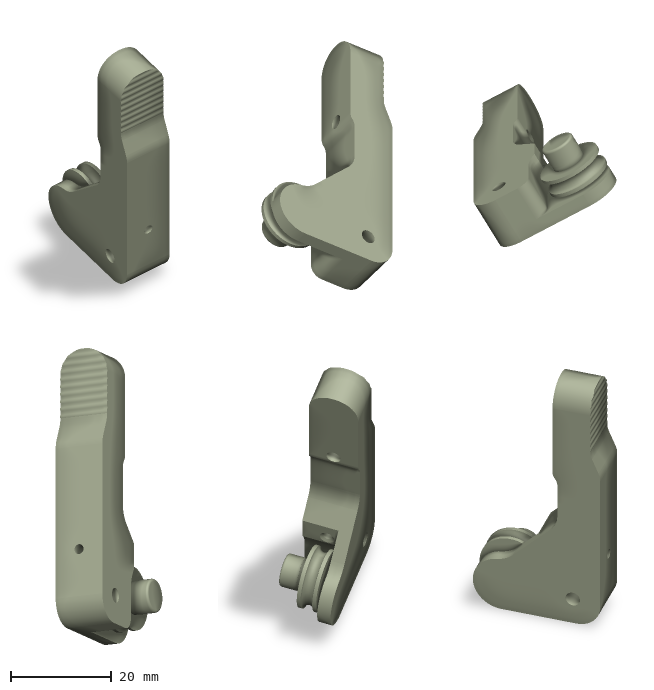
import cadquery as cq
import math

arm_thickness = 10.4
arm_back_x = 26.75
arm_height = 56.0
tip_round_radius = 5.0
heel_radius = 5.0
foot_radius = 6.0
foot_blend_radius = 6.0
ramp_offset = 5.2
ramp_blend_radius = 5.0
waist_x = 17.75
neck_front_x = 16.75
step_low_z = 32.55
step_high_z = 35.5
back_bend_low_z = 35.6
back_bend_radius = 4.35

ripple_mean_x = 24.7
ripple_height = 0.085
ripple_pitch = 1.5
ripple_count = 9
ripple_top_z = 55.85

pulley_x = 6.85
pulley_z = 8.5
pulley_radius = 6.5
pulley_start_y = 3.2
pulley_end_y = 7.2
groove_half_width = 1.25
groove_depth = 1.05
shaft_radius = 1.5
collar_radius = 3.35
collar_end_y = 8.4
hub_radius = 3.4
hub_end_y = 12.15
hub_round_radius = 0.5

plate_thickness = 2.8
pocket_wall_x = 12.8
pulley_clearance = 0.9
pocket_foot_radius = 2.5
trim_margin = 0.55

hole_diameter = 3.0
pivot_hole_inset = 5.75
neck_hole_z = 36.55
neck_hole_depth = 5.6
cord_hole_z = 14.55
cord_hole_diameter = 2.0
cord_mouth_chamfer = 0.5

arm_mid_y = arm_thickness / 2
diagonal = math.sqrt(0.5)


def front_side(sketch):
    """Draw from the foot's leftmost point up to the front of the neck."""
    rise = ramp_offset + foot_blend_radius / diagonal
    reach = foot_radius + foot_blend_radius
    blend_dx = (math.sqrt(2 * reach**2 - rise**2) - rise) / 2
    blend_x = foot_radius + blend_dx
    blend_z = foot_radius + blend_dx + rise
    share = foot_radius / reach
    foot_end = (foot_radius + share * blend_dx, foot_radius + share * (blend_dx + rise))
    ramp_start_x = blend_x + foot_blend_radius * diagonal

    upper_x = waist_x - ramp_blend_radius
    upper_z = upper_x + ramp_offset + ramp_blend_radius / diagonal
    ramp_end_x = upper_x + ramp_blend_radius * diagonal
    upper_angle = math.pi / 8
    upper_mid = (
        upper_x + ramp_blend_radius * math.cos(upper_angle),
        upper_z - ramp_blend_radius * math.sin(upper_angle),
    )

    step_mid = ((waist_x + neck_front_x) / 2, (step_low_z + step_high_z) / 2)
    return (
        sketch.tangentArcPoint(foot_end, relative=False)
        .tangentArcPoint((ramp_start_x, ramp_start_x + ramp_offset), relative=False)
        .lineTo(ramp_end_x, ramp_end_x + ramp_offset)
        .threePointArc(upper_mid, (waist_x, upper_z))
        .lineTo(waist_x, step_low_z)
        .tangentArcPoint(step_mid, relative=False)
        .tangentArcPoint((neck_front_x, step_high_z), relative=False)
    )


def ripples(sketch):
    """Draw the ripples down the back of the neck, each a hollow and a crest."""
    half_pitch = ripple_pitch / 2
    for ripple in range(ripple_count):
        hollow_z = ripple_top_z - ripple * ripple_pitch
        crest_z = hollow_z - half_pitch
        sketch = sketch.threePointArc(
            (ripple_mean_x - ripple_height, hollow_z - half_pitch / 2), (ripple_mean_x, crest_z)
        ).threePointArc(
            (ripple_mean_x + ripple_height, crest_z - half_pitch / 2), (ripple_mean_x, crest_z - half_pitch)
        )
    return sketch


def back_bend(sketch):
    """Draw the bend from the neck out to the full-width back, ending on the back face."""
    width = arm_back_x - ripple_mean_x
    high_z = ripple_top_z - ripple_count * ripple_pitch
    height = high_z - back_bend_low_z
    span = math.hypot(height, 2 * back_bend_radius - width)
    lean = math.asin(2 * back_bend_radius / span) - math.atan2(2 * back_bend_radius - width, height)
    arc_dx = back_bend_radius * (1 - math.cos(lean))
    arc_dz = back_bend_radius * math.sin(lean)
    half_dx = back_bend_radius * (1 - math.cos(lean / 2))
    half_dz = back_bend_radius * math.sin(lean / 2)
    return (
        sketch.threePointArc(
            (ripple_mean_x + half_dx, high_z - half_dz),
            (ripple_mean_x + arc_dx, high_z - arc_dz),
        )
        .lineTo(arm_back_x - arc_dx, back_bend_low_z + arc_dz)
        .threePointArc(
            (arm_back_x - half_dx, back_bend_low_z + half_dz),
            (arm_back_x, back_bend_low_z),
        )
    )


def make_arm():
    """Side outline through the full thickness, trimmed to a rounded tip."""
    outline_top_z = arm_height + trim_margin
    foot_low = foot_radius * (1 - diagonal)
    heel_mid = heel_radius * (1 - diagonal)
    sketch = (
        cq.Workplane("XZ")
        .moveTo(foot_radius, 0)
        .threePointArc((foot_low, foot_low), (0, foot_radius))
    )
    sketch = front_side(sketch).lineTo(neck_front_x, outline_top_z).lineTo(ripple_mean_x, outline_top_z)
    sketch = back_bend(ripples(sketch.lineTo(ripple_mean_x, ripple_top_z)))
    side = (
        sketch.lineTo(arm_back_x, heel_radius)
        .threePointArc((arm_back_x - heel_mid, heel_mid), (arm_back_x - heel_radius, 0))
        .close()
        .extrude(-arm_thickness)
    )
    tip_envelope = (
        cq.Workplane("XY")
        .box(arm_back_x + trim_margin, arm_thickness, arm_height, centered=False)
        .edges("|X and >Z")
        .fillet(tip_round_radius)
    )
    return side.intersect(tip_envelope)


def make_pocket():
    """Space for the pulley behind the plate, hollowed around the pulley's rim."""
    hollow_radius = pulley_radius + pulley_clearance
    inner_x = pulley_x + hollow_radius
    wall_angle = math.acos((pocket_wall_x - pulley_x) / hollow_radius)
    wall_low_z = pulley_z + hollow_radius * math.sin(wall_angle)
    hollow_mid = (
        pulley_x + hollow_radius * math.cos(wall_angle / 2),
        pulley_z + hollow_radius * math.sin(wall_angle / 2),
    )
    top_z = pocket_wall_x + ramp_offset + trim_margin
    foot_mid = pocket_foot_radius * (1 - diagonal)
    return (
        cq.Workplane("XZ", origin=(0, plate_thickness, 0))
        .moveTo(-trim_margin, -trim_margin)
        .lineTo(inner_x + pocket_foot_radius, -trim_margin)
        .lineTo(inner_x + pocket_foot_radius, 0)
        .threePointArc((inner_x + foot_mid, foot_mid), (inner_x, pocket_foot_radius))
        .lineTo(inner_x, pulley_z)
        .threePointArc(hollow_mid, (pocket_wall_x, wall_low_z))
        .lineTo(pocket_wall_x, top_z)
        .lineTo(-trim_margin, top_z)
        .close()
        .extrude(-arm_thickness)
    )


def make_pulley():
    """Shaft, grooved pulley, collar and hub as one turned profile."""
    groove_y = (pulley_start_y + pulley_end_y) / 2
    return (
        cq.Workplane("XY", origin=(pulley_x, 0, pulley_z))
        .moveTo(0, plate_thickness / 2)
        .lineTo(shaft_radius, plate_thickness / 2)
        .lineTo(shaft_radius, pulley_start_y)
        .lineTo(pulley_radius, pulley_start_y)
        .lineTo(pulley_radius, groove_y - groove_half_width)
        .threePointArc(
            (pulley_radius - groove_depth, groove_y), (pulley_radius, groove_y + groove_half_width)
        )
        .lineTo(pulley_radius, pulley_end_y)
        .lineTo(collar_radius, pulley_end_y)
        .lineTo(collar_radius, collar_end_y)
        .lineTo(hub_radius, collar_end_y)
        .lineTo(hub_radius, hub_end_y)
        .lineTo(0, hub_end_y)
        .close()
        .revolve(360, (0, 0), (0, 1))
        .faces(">Y")
        .edges()
        .fillet(hub_round_radius)
    )


def cylinder_along_x(start_x, z, diameter, length):
    """Cylinder at mid thickness, running toward +X."""
    return cq.Workplane("YZ", origin=(start_x, arm_mid_y, z)).circle(diameter / 2).extrude(length)


pivot_hole = (
    cq.Workplane("XZ", origin=(arm_back_x - pivot_hole_inset, 0, pivot_hole_inset))
    .circle(hole_diameter / 2)
    .extrude(-arm_thickness)
)
neck_hole = cylinder_along_x(neck_front_x, neck_hole_z, hole_diameter, neck_hole_depth)
cord_hole = cylinder_along_x(pocket_wall_x, cord_hole_z, cord_hole_diameter, arm_back_x - pocket_wall_x)

arm = make_arm().cut(make_pocket()).cut(pivot_hole).cut(neck_hole).cut(cord_hole)
cord_mouth = arm.edges(cq.selectors.NearestToPointSelector((pocket_wall_x, arm_mid_y, cord_hole_z)))
arm = cord_mouth.chamfer(cord_mouth_chamfer)
result = arm.union(make_pulley())